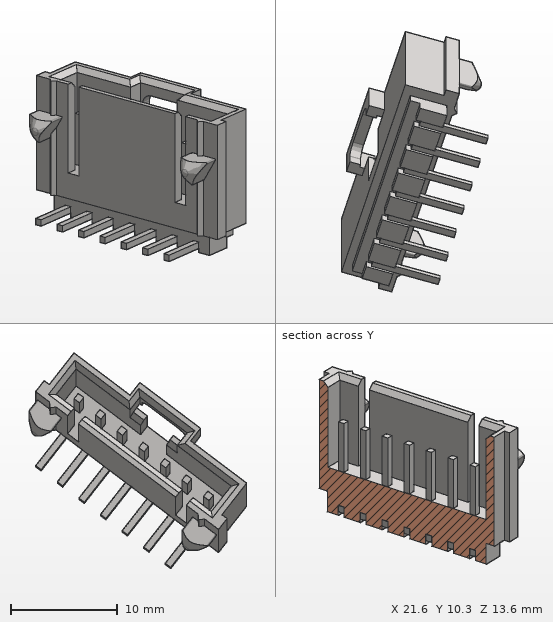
import cadquery as cq
import math


overall_width = 21.6
overall_height = 13.58
shroud_width = 20.38
shroud_depth = 5.12
shroud_bottom = 2.15
wall = 1.04
lead_in = wall / 2
cavity_floor = 4.7
flange_depth = 1.32

latch_width = 7.17
latch_side_wall = 0.8
latch_projection = 1.51
latch_bottom = 9.8
window_width = 5.07
window_height = 2.22
window_corner = 1.01
back_slot_width = 3.07

base_width = 18.52
base_front = 0.75
base_back = 4.35
foot_back = 3.37
foot_height = 1.05

pin_count = 7
pin_pitch = 2.55
pin_size = 0.65
pin_row_y = 2.55
tail_bottom = 0.39
tail_reach = 3.67
pin_top = latch_bottom

front_slot_width = 1.27
front_slot_x = (pin_count / 2 - 1) * pin_pitch
rib_x = 8.77
rib_projection = 0.39

peg_x = 9.15
peg_half_width = 1.5
peg_top = 10.17
peg_apex = 7.66
peg_edge_radius = 0.09
peg_root = 0.22
tip_x = 8.94
tip_z = 9.13
tip_reach = 2.7
tip_slope = math.radians(39.5)
dome_edge_radius = 0.37
cone_radius = 2.15

shroud_height = overall_height - shroud_bottom
cavity_width = shroud_width - 2 * wall
cavity_back = shroud_depth - wall
latch_inner_width = latch_width - 2 * latch_side_wall
latch_back = shroud_depth + latch_projection
latch_inner_back = latch_back - wall
pin_positions = [(i - (pin_count - 1) / 2) * pin_pitch for i in range(pin_count)]


def block(width, y_range, z_range, x_center=0.0):
    """Box centred on x_center that spans the given Y and Z ranges."""
    y_start, y_end = y_range
    z_start, z_end = z_range
    size = (width, y_end - y_start, z_end - z_start)
    base_point = (x_center, y_start, z_start)
    return cq.Workplane("XY", origin=base_point).box(*size, centered=(True, False, False))


def make_housing():
    full_height = (shroud_bottom, overall_height)
    shroud = block(shroud_width, (0, shroud_depth), full_height)
    flanges = block(overall_width, (0, flange_depth), full_height)
    latch = block(latch_width, (cavity_back, latch_back), (latch_bottom, overall_height))
    return shroud.union(flanges).union(latch)


def mouth_outline(growth):
    """Corners of the opening seen along Z, grown outward by the given distance."""
    right = cavity_width / 2 + growth
    latch_right = latch_inner_width / 2 + growth
    back = cavity_back + growth
    latch_pocket_back = latch_inner_back + growth
    front = wall - growth
    return [
        (-right, front),
        (right, front),
        (right, back),
        (latch_right, back),
        (latch_right, latch_pocket_back),
        (-latch_right, latch_pocket_back),
        (-latch_right, back),
        (-right, back),
    ]


def make_cavity():
    """Pin cavity, the latch opening behind it and the bevelled mouth of both."""
    pocket = block(cavity_width, (wall, cavity_back), (cavity_floor, overall_height))
    latch_pocket = block(latch_inner_width, (wall, latch_inner_back), (latch_bottom, overall_height))
    mouth = (
        cq.Workplane("XY", origin=(0, 0, overall_height - lead_in))
        .polyline(mouth_outline(0))
        .close()
        .workplane(offset=lead_in)
        .polyline(mouth_outline(lead_in))
        .close()
        .loft(ruled=True)
    )
    return pocket.union(latch_pocket).union(mouth)


def make_back_openings():
    """Slot and bevel in the back wall, and the round-cornered window in the latch housing."""
    slot = block(back_slot_width, (wall, shroud_depth), (cavity_floor, latch_bottom))
    sill_bevel = (
        cq.Workplane("YZ")
        .polyline([
            (cavity_back, latch_bottom - lead_in),
            (cavity_back + lead_in, latch_bottom),
            (cavity_back, latch_bottom),
        ])
        .close()
        .extrude(latch_inner_width / 2, both=True)
    )
    window = (
        block(window_width, (shroud_depth, latch_back), (latch_bottom, latch_bottom + window_height))
        .edges("|Y and >Z")
        .fillet(window_corner)
    )
    return slot.union(sill_bevel).union(window)


def make_front_slot(side):
    return block(front_slot_width, (0, wall), (cavity_floor, overall_height), side * front_slot_x)


def make_rib(side):
    x = side * rib_x
    return (
        cq.Workplane("XY", origin=(0, 0, shroud_bottom))
        .polyline([(x - rib_projection, 0), (x, -rib_projection), (x + rib_projection, 0)])
        .close()
        .extrude(shroud_height)
    )


def make_base():
    """Stepped base whose lower part is divided by one slot per pin."""
    base = block(base_width, (base_front, base_back), (foot_height, shroud_bottom))
    foot = block(base_width, (base_front, foot_back), (0, foot_height))
    for x in pin_positions:
        foot = foot.cut(block(pin_size, (base_front, foot_back), (0, foot_height), x))
    return base.union(foot)


def make_pin(x):
    half = pin_size / 2
    post = block(pin_size, (pin_row_y - half, pin_row_y + half), (tail_bottom, pin_top), x)
    tail = block(pin_size, (-tail_reach, pin_row_y), (tail_bottom, tail_bottom + pin_size), x)
    return post.union(tail)


def make_peg(side):
    x = side * peg_x
    prism = (
        cq.Workplane("XZ", origin=(0, peg_root, 0))
        .polyline([(x - peg_half_width, peg_top), (x + peg_half_width, peg_top), (x, peg_apex)])
        .close()
        .extrude(peg_root + tip_reach)
        .edges("|Y")
        .fillet(peg_edge_radius)
    )
    dome_radius = dome_edge_radius / math.sin(tip_slope)
    dome_center = dome_radius - tip_reach
    dome_edge_y = dome_center - dome_radius * math.cos(tip_slope)
    dome_mid_x = dome_radius * math.sin(tip_slope / 2)
    dome_mid_y = dome_center - dome_radius * math.cos(tip_slope / 2)
    cone_rim_y = dome_edge_y + (cone_radius - dome_edge_radius) * math.tan(tip_slope)
    envelope = (
        cq.Workplane("XY")
        .moveTo(0, peg_root)
        .lineTo(0, -tip_reach)
        .threePointArc((dome_mid_x, dome_mid_y), (dome_edge_radius, dome_edge_y))
        .lineTo(cone_radius, cone_rim_y)
        .lineTo(cone_radius, peg_root)
        .close()
        .revolve(360, (0, 0, 0), (0, 1, 0))
        .translate((side * tip_x, 0, tip_z))
    )
    return prism.intersect(envelope)


result = make_housing().cut(make_cavity()).cut(make_back_openings()).union(make_base())
for side in (-1, 1):
    result = result.cut(make_front_slot(side)).union(make_rib(side)).union(make_peg(side))
for pin_x in pin_positions:
    result = result.union(make_pin(pin_x))